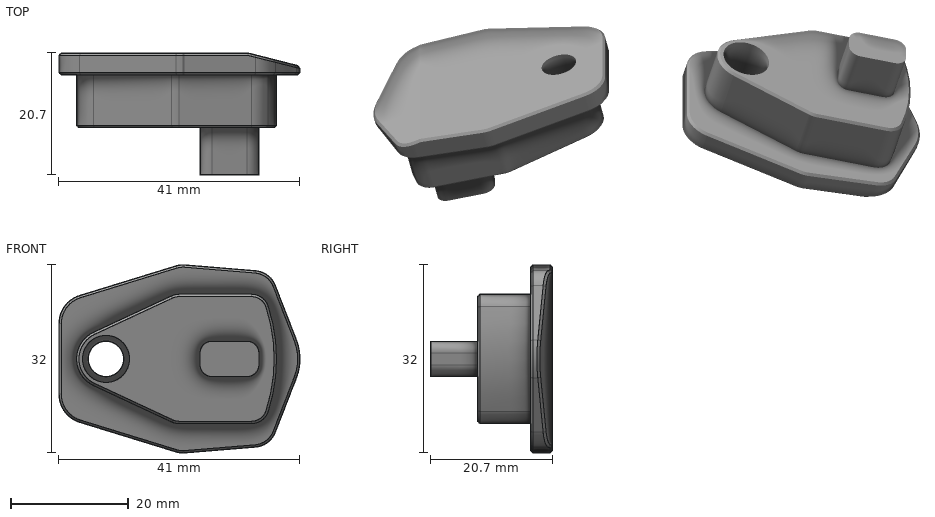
import cadquery as cq
import math

PLATE_THICKNESS = 3.7
PLATE_LEFT_X = -8.0
PLATE_LEFT_CORNER_Z = 9.7
PLATE_HALF_WIDTH = 16.0
PLATE_CREST_START_X = 12.47
PLATE_CREST_END_X = 13.3
PLATE_SHOULDER_X = 27.9
PLATE_SHOULDER_Z = 14.8
PLATE_TIP_X = 33.65
LEFT_CORNER_RADIUS = 5.0
CREST_RADIUS = 4.0
SHOULDER_RADIUS = 4.0
TIP_RADIUS = 9.0

SLOPE_START_X = 24.2
SLOPE_ANGLE = 14.2

BLOCK_HEIGHT = 9.0
BLOCK_HALF_WIDTH = 11.0
NOSE_RADIUS = 5.0
FLANK_ANGLE = 25.0
END_RADIUS = 29.0
BLOCK_CORNER_RADIUS = 3.0

KEY_CENTER_X = 21.0
KEY_LENGTH = 10.0
KEY_WIDTH = 6.0
KEY_HEIGHT = 8.0
KEY_CORNER_RADIUS = 2.0

HOLE_DIAMETER = 6.0
COUNTERBORE_DIAMETER = 8.0

EDGE_CHAMFER = 0.4

PICK_REACH = 0.01

BLOCK_FACE_Y = -PLATE_THICKNESS - BLOCK_HEIGHT


def section_plane(y):
    """XZ workplane at the given Y; its normal points toward -Y."""
    return cq.Workplane("XZ", origin=(0, y, 0))


def round_corners(body, points, radius):
    """Fillet the Y-direction edges at the given (x, z) points and their mirror images."""
    for x, z in points:
        for side_z in {z, -z}:
            box = cq.selectors.BoxSelector(
                (x - PICK_REACH, BLOCK_FACE_Y, side_z - PICK_REACH),
                (x + PICK_REACH, 0, side_z + PICK_REACH),
            )
            body = body.edges("|Y").edges(box).fillet(radius)
    return body


def make_plate():
    left = (PLATE_LEFT_X, PLATE_LEFT_CORNER_Z)
    crest_start = (PLATE_CREST_START_X, PLATE_HALF_WIDTH)
    crest_end = (PLATE_CREST_END_X, PLATE_HALF_WIDTH)
    shoulder = (PLATE_SHOULDER_X, PLATE_SHOULDER_Z)
    tip = (PLATE_TIP_X, 0)
    upper = [left, crest_start, crest_end, shoulder]
    lower = [(x, -z) for x, z in reversed(upper)]
    plate = section_plane(0).polyline(upper + [tip] + lower).close().extrude(PLATE_THICKNESS)
    plate = round_corners(plate, [left], LEFT_CORNER_RADIUS)
    plate = round_corners(plate, [crest_start], CREST_RADIUS)
    plate = round_corners(plate, [shoulder], SHOULDER_RADIUS)
    plate = round_corners(plate, [tip], TIP_RADIUS)

    slope_run = PLATE_TIP_X - SLOPE_START_X
    slope_drop = slope_run * math.tan(math.radians(SLOPE_ANGLE))
    relief = (
        cq.Workplane("XY")
        .moveTo(SLOPE_START_X, 0)
        .lineTo(PLATE_TIP_X, 0)
        .lineTo(PLATE_TIP_X, -slope_drop)
        .close()
        .extrude(PLATE_HALF_WIDTH, both=True)
    )
    plate = plate.cut(relief)
    rim = cq.selectors.StringSyntaxSelector("not |Y")
    crease = cq.selectors.BoxSelector(
        (SLOPE_START_X - PICK_REACH, -PICK_REACH, -PICK_REACH),
        (SLOPE_START_X + PICK_REACH, PICK_REACH, PICK_REACH),
    )
    return plate.edges(rim - crease).chamfer(EDGE_CHAMFER)


def make_block():
    flank = math.radians(FLANK_ANGLE)
    tangent_x = -NOSE_RADIUS * math.sin(flank)
    tangent_z = NOSE_RADIUS * math.cos(flank)
    shoulder_x = tangent_x + (BLOCK_HALF_WIDTH - tangent_z) / math.tan(flank)
    end_x = math.sqrt(END_RADIUS**2 - BLOCK_HALF_WIDTH**2)
    block = (
        section_plane(-PLATE_THICKNESS)
        .moveTo(tangent_x, tangent_z)
        .lineTo(shoulder_x, BLOCK_HALF_WIDTH)
        .lineTo(end_x, BLOCK_HALF_WIDTH)
        .threePointArc((END_RADIUS, 0), (end_x, -BLOCK_HALF_WIDTH))
        .lineTo(shoulder_x, -BLOCK_HALF_WIDTH)
        .lineTo(tangent_x, -tangent_z)
        .threePointArc((-NOSE_RADIUS, 0), (tangent_x, tangent_z))
        .close()
        .extrude(BLOCK_HEIGHT)
    )
    corners = [(shoulder_x, BLOCK_HALF_WIDTH), (end_x, BLOCK_HALF_WIDTH)]
    block = round_corners(block, corners, BLOCK_CORNER_RADIUS)
    return block.faces("<Y").edges().chamfer(EDGE_CHAMFER)


def make_key():
    return (
        section_plane(BLOCK_FACE_Y)
        .center(KEY_CENTER_X, 0)
        .rect(KEY_LENGTH, KEY_WIDTH)
        .extrude(KEY_HEIGHT)
        .edges("|Y")
        .fillet(KEY_CORNER_RADIUS)
    )


def make_screw_hole():
    through = section_plane(0).circle(HOLE_DIAMETER / 2).extrude(-BLOCK_FACE_Y)
    counterbore = section_plane(-PLATE_THICKNESS).circle(COUNTERBORE_DIAMETER / 2).extrude(BLOCK_HEIGHT)
    return through.union(counterbore)


result = make_plate().union(make_block()).union(make_key()).cut(make_screw_hole())